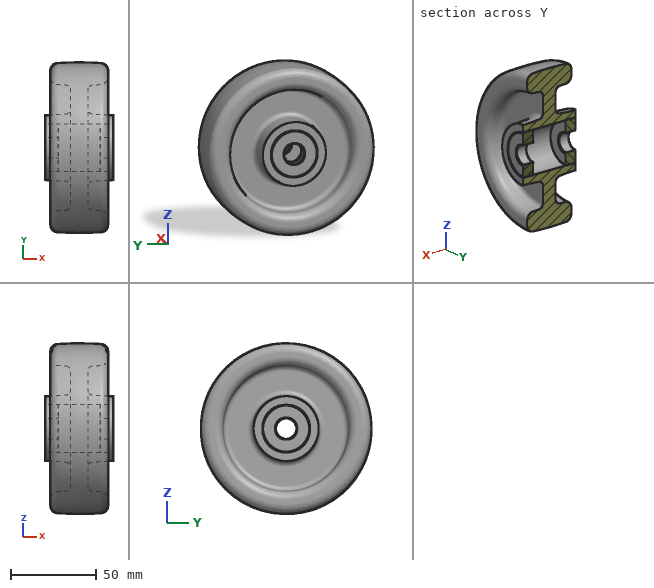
import cadquery as cq
import math


tread_radius = 50.1
shoulder_drop = 0.8
rim_half_width = 17.0
rim_opening_radius = 37.1
shoulder_fillet = 4.8
rim_lip_fillet = 5.0

web_half_thickness = 5.0
web_fillet = 3.0
hub_half_length = 20.0
hub_end_radius = 19.0
draft_angle = 3.0

bushing_radius = 14.0
bushing_length = 8.0
bushing_bore_radius = 6.0
bushing_chamfer = 0.5

shoulder_radius = tread_radius - shoulder_drop
crown_arc_radius = (rim_half_width**2 + shoulder_drop**2) / (2 * shoulder_drop)
crown_mid_x = rim_half_width / 2
crown_mid_radius = tread_radius - crown_arc_radius + math.sqrt(crown_arc_radius**2 - crown_mid_x**2)
draft_slope = math.tan(math.radians(draft_angle))
hub_root_radius = hub_end_radius + (hub_half_length - web_half_thickness) * draft_slope
rim_root_radius = rim_opening_radius - (rim_half_width - web_half_thickness) * draft_slope


def fillet_rings(body, x, radius, size):
    """Round the two mirrored circular edges at +x and -x with the given radius."""
    tolerance = 0.01

    def is_ring(edge):
        if edge.geomType() != "CIRCLE":
            return False
        same_place = abs(abs(edge.Center().x) - x) < tolerance
        return same_place and abs(edge.radius() - radius) < tolerance

    return body.newObject([edge for edge in body.edges().vals() if is_ring(edge)]).fillet(size)


def make_wheel():
    """Rim, web and hub in one piece, with a bore for the bushings."""
    wheel = (
        cq.Workplane("XY")
        .moveTo(-hub_half_length, bushing_radius)
        .lineTo(-hub_half_length, hub_end_radius)
        .lineTo(-web_half_thickness, hub_root_radius)
        .lineTo(-web_half_thickness, rim_root_radius)
        .lineTo(-rim_half_width, rim_opening_radius)
        .lineTo(-rim_half_width, shoulder_radius)
        .threePointArc((-crown_mid_x, crown_mid_radius), (0, tread_radius))
        .threePointArc((crown_mid_x, crown_mid_radius), (rim_half_width, shoulder_radius))
        .lineTo(rim_half_width, rim_opening_radius)
        .lineTo(web_half_thickness, rim_root_radius)
        .lineTo(web_half_thickness, hub_root_radius)
        .lineTo(hub_half_length, hub_end_radius)
        .lineTo(hub_half_length, bushing_radius)
        .close()
        .revolve(360, (0, 0, 0), (1, 0, 0))
    )
    wheel = fillet_rings(wheel, rim_half_width, shoulder_radius, shoulder_fillet)
    wheel = fillet_rings(wheel, rim_half_width, rim_opening_radius, rim_lip_fillet)
    wheel = fillet_rings(wheel, web_half_thickness, rim_root_radius, web_fillet)
    return fillet_rings(wheel, web_half_thickness, hub_root_radius, web_fillet)


def make_bushing(start_x):
    """Bored cylinder from start_x toward +X, chamfered on all its rims."""
    return (
        cq.Workplane("YZ", origin=(start_x, 0, 0))
        .circle(bushing_radius)
        .circle(bushing_bore_radius)
        .extrude(bushing_length)
        .faces("<X or >X")
        .edges()
        .chamfer(bushing_chamfer)
    )


wheel = make_wheel()
bushing_starts = [-hub_half_length, hub_half_length - bushing_length]
bushings = [make_bushing(start_x) for start_x in bushing_starts]

result = cq.Compound.makeCompound([wheel.val(), *[bushing.val() for bushing in bushings]])